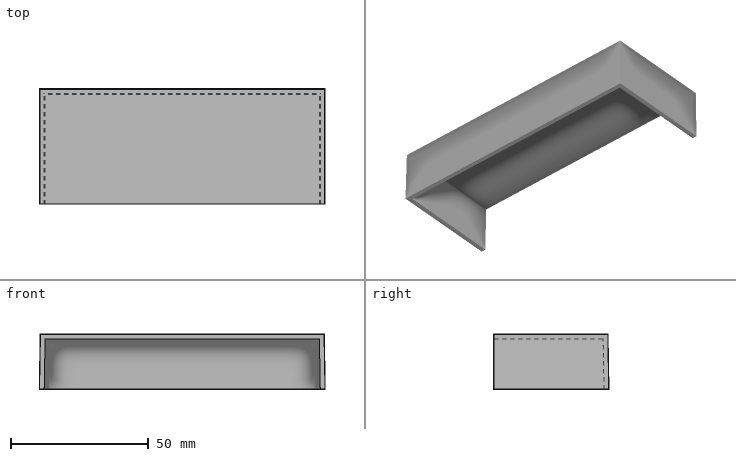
import cadquery as cq
import math

length = 103.8
depth = 41.9
height = 20.0

wall = 1.8
draft_angle = 1.0

front_y = -depth / 2
back_y = depth / 2
front_overrun = 1.0


def rim(half_length, y_front, y_back):
    """Corner points of a rectangle centred on X = 0."""
    return [
        (-half_length, y_front),
        (half_length, y_front),
        (half_length, y_back),
        (-half_length, y_back),
    ]


def drafted_block(half_length, y_front, y_back, block_height):
    """Block on Z = 0 with an upright front, whose ends and back lean inward by the draft."""
    inset = block_height * math.tan(math.radians(draft_angle))
    return (
        cq.Workplane("XY")
        .polyline(rim(half_length, y_front, y_back))
        .close()
        .workplane(offset=block_height)
        .polyline(rim(half_length - inset, y_front, y_back - inset))
        .close()
        .loft(ruled=True)
    )


envelope = drafted_block(length / 2, front_y, back_y, height)

cavity = drafted_block(length / 2 - wall, front_y - front_overrun, back_y - wall, height - wall)

result = envelope.cut(cavity)